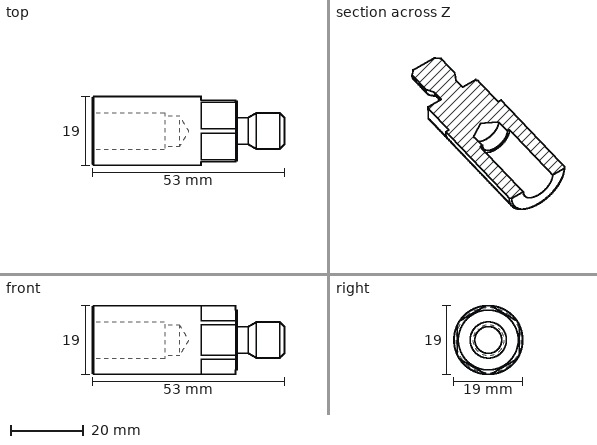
import cadquery as cq
import math

body_diameter = 19.0
body_length = 40.0
body_chamfer = 0.5

hex_across_flats = 17.0
hex_start = 30.0
hex_sides = 6
hex_half_angle = 180.0 / hex_sides

collar_diameter = 16.5
collar_length = 0.5

stud_diameter = 10.0
neck_diameter = 7.4
neck_length = 3.0
neck_cone_angle = 30.0
overall_length = 53.0

thread_diameter = 10.0
thread_depth = 20.0
drill_diameter = 8.5
drill_depth = 24.0
drill_point_angle = 118.0


def make_turned_body():
    """Revolve the outer shape of body, collar, neck and stud about the X axis."""
    body_radius = body_diameter / 2
    collar_radius = collar_diameter / 2
    stud_radius = stud_diameter / 2
    neck_radius = neck_diameter / 2
    collar_start = body_length - collar_length
    neck_end = body_length + neck_length
    stud_step = stud_radius - neck_radius
    cone_end = neck_end + stud_step / math.tan(math.radians(neck_cone_angle))
    outline = [
        (0, 0),
        (0, body_radius - body_chamfer),
        (body_chamfer, body_radius),
        (collar_start, body_radius),
        (collar_start, collar_radius),
        (body_length, collar_radius),
        (body_length, neck_radius),
        (neck_end, neck_radius),
        (cone_end, stud_radius),
        (overall_length - stud_step, stud_radius),
        (overall_length, neck_radius),
        (overall_length, 0),
    ]
    return cq.Workplane("XY").polyline(outline).close().revolve(360, (0, 0, 0), (1, 0, 0))


def make_hex_trim():
    """Material outside the hexagon; two flats face +Y and -Y."""
    hex_across_corners = hex_across_flats / math.cos(math.radians(hex_half_angle))
    trim_length = body_length - hex_start
    hexagon = cq.Workplane("YZ").polygon(hex_sides, hex_across_corners).extrude(trim_length)
    hexagon = hexagon.rotate((0, 0, 0), (1, 0, 0), hex_half_angle)
    ring = cq.Workplane("YZ").circle(body_diameter).extrude(trim_length)
    return ring.cut(hexagon).translate((hex_start, 0, 0))


def make_bore():
    """Stepped blind bore from the X = 0 face, ending in a drill cone."""
    thread_radius = thread_diameter / 2
    drill_radius = drill_diameter / 2
    point_length = drill_radius / math.tan(math.radians(drill_point_angle / 2))
    outline = [
        (0, 0),
        (0, thread_radius),
        (thread_depth, thread_radius),
        (thread_depth, drill_radius),
        (drill_depth, drill_radius),
        (drill_depth + point_length, 0),
    ]
    return cq.Workplane("XY").polyline(outline).close().revolve(360, (0, 0, 0), (1, 0, 0))


result = make_turned_body().cut(make_hex_trim()).cut(make_bore())